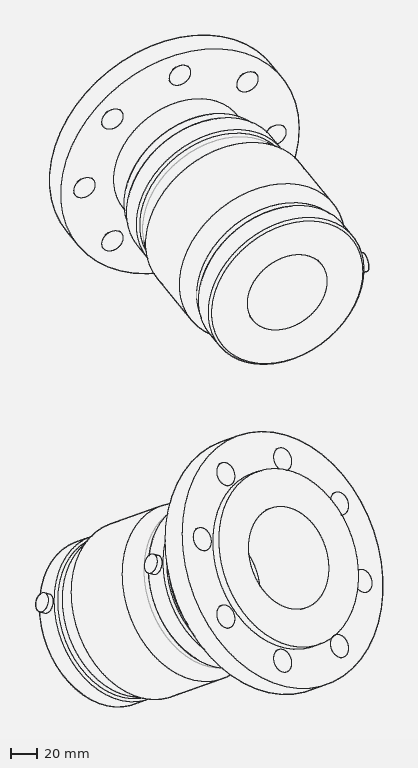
import cadquery as cq


flange_dia = 200.0
raised_face_dia = 139.0
raised_face_height = 7.0
flange_thickness = 20.0
flange_back = raised_face_height + flange_thickness
bolt_hole_dia = 18.0
bolt_circle_dia = 160.0
bolt_count = 8

total_length = 216.0
neck_dia = 111.34
step_dia = 123.71
collar_dia = 130.66
groove_dia = 126.74
barrel_dia = 139.0
step_start = 56.4
collar_length = 21.2
front_collar_start = 68.0
front_collar_end = front_collar_start + collar_length
rear_collar_end = total_length
rear_collar_start = rear_collar_end - collar_length
front_cone_start = 94.4
barrel_start = 112.6
barrel_end = 172.0
rear_cone_end = 189.5
edge_chamfer = (collar_dia - groove_dia) / 2

mouth_dia = 80.0
passage_dia = 67.0
taper_start = 80.0
taper_end = 100.0

boss_dia = 15.0
boss_reach = 70.0


def disc(start, end, diameter):
    """Solid cylinder on the X axis between two X positions."""
    return cq.Workplane("YZ").workplane(offset=start).circle(diameter / 2).extrude(end - start)


def make_flange():
    """Bolting flange with its raised sealing face."""
    return disc(raised_face_height, flange_back, flange_dia).union(disc(0, flange_back, raised_face_dia))


def make_barrel():
    """Cylindrical barrel with a cone at each end, leading down to the grooves."""
    groove_radius = groove_dia / 2
    barrel_radius = barrel_dia / 2
    outline = (
        cq.Workplane("XY")
        .moveTo(front_collar_start + edge_chamfer, 0)
        .lineTo(front_collar_start + edge_chamfer, groove_radius)
        .lineTo(front_cone_start, groove_radius)
        .lineTo(barrel_start, barrel_radius)
        .lineTo(barrel_end, barrel_radius)
        .lineTo(rear_cone_end, groove_radius)
        .lineTo(rear_collar_end - edge_chamfer, groove_radius)
        .lineTo(rear_collar_end - edge_chamfer, 0)
        .close()
    )
    return outline.revolve(360, (0, 0, 0), (1, 0, 0))


def make_collar(start):
    """Collar with both rims chamfered and a boss on its +Y side."""
    ring = disc(start, start + collar_length, collar_dia).edges().chamfer(edge_chamfer)
    boss = (
        cq.Workplane("XZ")
        .center(start + collar_length / 2, 0)
        .circle(boss_dia / 2)
        .extrude(-boss_reach)
    )
    return ring.union(boss)


def make_bore():
    """Flow passage through the whole part."""
    outline = (
        cq.Workplane("XY")
        .lineTo(0, mouth_dia / 2)
        .lineTo(taper_start, mouth_dia / 2)
        .lineTo(taper_end, passage_dia / 2)
        .lineTo(total_length, passage_dia / 2)
        .lineTo(total_length, 0)
        .close()
    )
    return outline.revolve(360, (0, 0, 0), (1, 0, 0))


def make_bolt_holes():
    """Ring of bolt holes through the flange."""
    return (
        cq.Workplane("YZ")
        .polarArray(bolt_circle_dia / 2, 0, 360, bolt_count)
        .circle(bolt_hole_dia / 2)
        .extrude(flange_back)
    )


neck = disc(0, front_collar_end, neck_dia)
step = disc(step_start, front_collar_end, step_dia).faces("<X").chamfer(edge_chamfer)

result = (
    make_flange()
    .union(neck)
    .union(step)
    .union(make_barrel())
    .union(make_collar(front_collar_start))
    .union(make_collar(rear_collar_start))
    .cut(make_bore())
    .cut(make_bolt_holes())
)